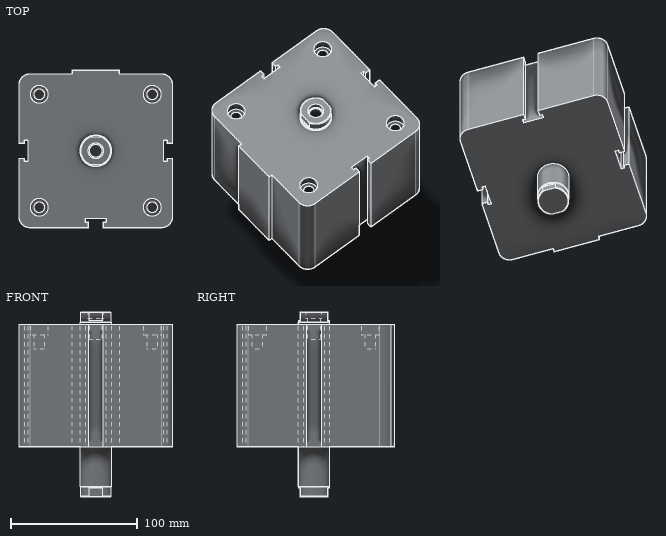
import cadquery as cq

HOUSING_SIDE = 122.0
HOUSING_HEIGHT = 97.0
CORNER_RADIUS = 9.0
HALF_SIDE = HOUSING_SIDE / 2

PAD_WIDTH = 37.5
PAD_HEIGHT = 3.0

SLOT_MOUTH_WIDTH = 11.9
SLOT_HEAD_WIDTH = 16.4
SLOT_LIP = 4.5
SLOT_DEPTH = 7.2
SLOT_SIDE_ANGLES = (0, 90, 180)

SCREW_SPACING = 89.5
SCREW_HEAD_DIAMETER = 14.0
SCREW_HEAD_DEPTH = 8.5
SCREW_DIAMETER = 8.4
SCREW_DEPTH = 19.5

ROD_LENGTH = 146.5
ROD_TOP_REACH = 9.8
ROD_DIAMETER = 25.0
ROD_TOP = HOUSING_HEIGHT + ROD_TOP_REACH
ROD_BOTTOM = ROD_TOP - ROD_LENGTH

END_DIAMETER = 24.5
END_LENGTH = 7.9
END_CHAMFER = 0.5
FLAT_LENGTH = 6.9
FLAT_DISTANCE = 22.0

ROD_MOUTH_DIAMETER = 12.3
ROD_MOUTH_DEPTH = 5.1
ROD_HOLE_DIAMETER = 10.1
ROD_HOLE_DEPTH = 22.0


def block_of(x_size, y_size, height):
    """Box centred on the Z axis, standing on Z = 0."""
    return cq.Workplane("XY").box(x_size, y_size, height, centered=(True, True, False))


def make_slot():
    """T-slot cutter for the -X side: a narrow mouth with a wider head behind it."""
    mouth = block_of(2 * SLOT_DEPTH, SLOT_MOUTH_WIDTH, HOUSING_HEIGHT)
    head_depth = SLOT_DEPTH - SLOT_LIP
    head = block_of(head_depth, SLOT_HEAD_WIDTH, HOUSING_HEIGHT)
    head = head.translate((SLOT_LIP + head_depth / 2, 0, 0))
    return mouth.union(head).translate((-HALF_SIDE, 0, 0))


def make_housing():
    housing = block_of(HOUSING_SIDE, HOUSING_SIDE, HOUSING_HEIGHT).edges("|Z").fillet(CORNER_RADIUS)

    pad_length = HALF_SIDE + PAD_HEIGHT
    pad = block_of(PAD_WIDTH, pad_length, HOUSING_HEIGHT).translate((0, pad_length / 2, 0))
    housing = housing.union(pad)

    slot = make_slot()
    for angle in SLOT_SIDE_ANGLES:
        housing = housing.cut(slot.rotate((0, 0, 0), (0, 0, 1), angle))

    housing = (
        housing.faces(">Z")
        .workplane(origin=(0, 0, HOUSING_HEIGHT))
        .rarray(SCREW_SPACING, SCREW_SPACING, 2, 2)
        .cboreHole(SCREW_DIAMETER, SCREW_HEAD_DIAMETER, SCREW_HEAD_DEPTH, SCREW_DEPTH)
    )

    bore = cq.Workplane("XY").circle(ROD_DIAMETER / 2).extrude(HOUSING_HEIGHT)
    return housing.cut(bore)


def make_rod():
    rod_radius = ROD_DIAMETER / 2
    end_radius = END_DIAMETER / 2
    rim_radius = end_radius - END_CHAMFER
    shoulder = rod_radius - end_radius
    profile = [
        (0, ROD_BOTTOM),
        (rim_radius, ROD_BOTTOM),
        (end_radius, ROD_BOTTOM + END_CHAMFER),
        (end_radius, ROD_BOTTOM + END_LENGTH),
        (rod_radius, ROD_BOTTOM + END_LENGTH + shoulder),
        (rod_radius, ROD_TOP - END_LENGTH - shoulder),
        (end_radius, ROD_TOP - END_LENGTH),
        (end_radius, ROD_TOP - END_CHAMFER),
        (rim_radius, ROD_TOP),
        (0, ROD_TOP),
    ]
    rod = cq.Workplane("XZ").polyline(profile).close().revolve()

    for end_z in (ROD_BOTTOM, ROD_TOP):
        for side in (-1, 1):
            flat_y = side * (FLAT_DISTANCE + ROD_DIAMETER) / 2
            cutter = cq.Workplane("XY").box(ROD_DIAMETER, ROD_DIAMETER, 2 * FLAT_LENGTH)
            rod = rod.cut(cutter.translate((0, flat_y, end_z)))

    return (
        rod.faces(">Z")
        .workplane(origin=(0, 0, ROD_TOP))
        .cboreHole(ROD_HOLE_DIAMETER, ROD_MOUTH_DIAMETER, ROD_MOUTH_DEPTH, ROD_HOLE_DEPTH)
    )


housing = make_housing()
rod = make_rod()
result = cq.Compound.makeCompound([housing.val(), rod.val()])